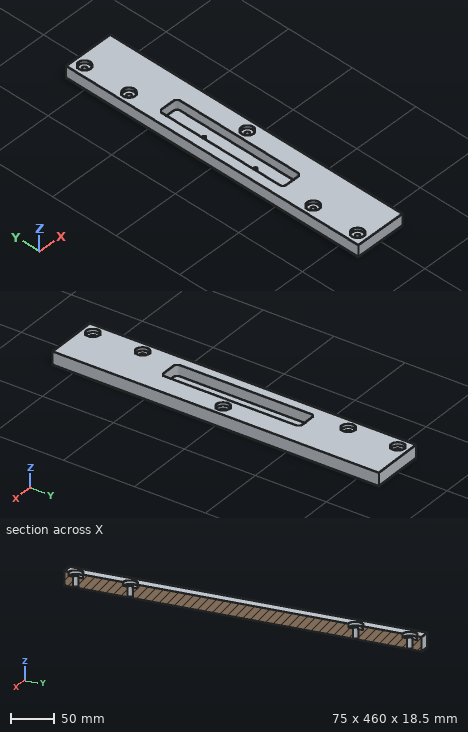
import cadquery as cq

width = 75.0
length = 460.0
thickness = 18.5

edge_inset = 15.0
screw_pitch = 70.0
screw_diameter = 6.5
head_diameter = 18.0
head_depth = 4.5

pocket_width = 30.0
pocket_length = 195.0
pocket_depth = 15.0
pocket_corner_radius = 5.0
pocket_x = -width / 2 + edge_inset + pocket_width / 2
pin_diameter = 4.0
pin_spacing = 80.5


def make_plate():
    return cq.Workplane("XY").box(width, length, thickness, centered=(True, True, False))


def make_pocket():
    return (
        cq.Workplane("XY", origin=(pocket_x, 0, thickness - pocket_depth))
        .rect(pocket_width, pocket_length)
        .extrude(pocket_depth)
        .edges("|Z")
        .fillet(pocket_corner_radius)
    )


def make_pin_holes():
    return (
        cq.Workplane("XY")
        .pushPoints([(pocket_x, side * pin_spacing / 2) for side in (-1, 1)])
        .circle(pin_diameter / 2)
        .extrude(thickness)
    )


def screw_positions():
    """Two holes near each end of the -X edge and one midway along the +X edge."""
    hole_x = width / 2 - edge_inset
    outer_y = length / 2 - edge_inset
    points = [(hole_x, 0)]
    for side in (-1, 1):
        points.append((-hole_x, side * outer_y))
        points.append((-hole_x, side * (outer_y - screw_pitch)))
    return points


plate = make_plate().cut(make_pocket()).cut(make_pin_holes())
result = (
    plate.faces(">Z")
    .workplane(origin=(0, 0, thickness))
    .pushPoints(screw_positions())
    .cboreHole(screw_diameter, head_diameter, head_depth)
)